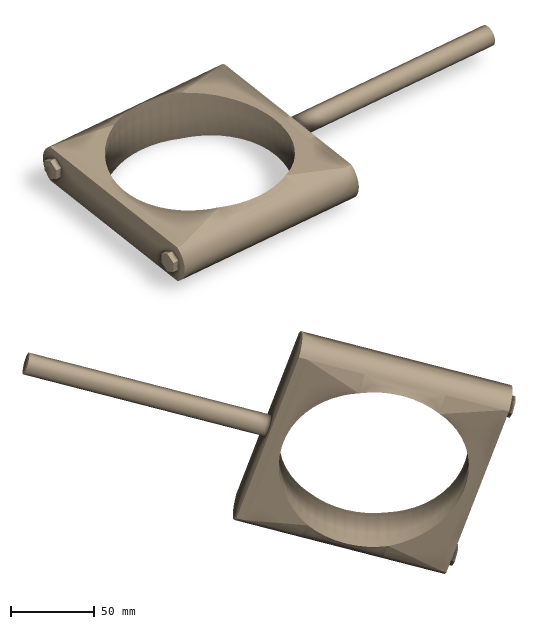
import cadquery as cq
import math

frame_width = 139.3
frame_half_height = 12.7
frame_back = 67.0
frame_front = -65.5
bore_radius = 57.2

pad_half_side = 62.5
total_height = 35.0
pad_top = total_height / 2
ridge_half_length = 25.5

bolt_height = 3.8
bolt_corner_diameter = 13.5
bolt_spacing = 115.0

total_length = 289
rod_diameter = 13.5
bolt_front = frame_front - bolt_height
rod_end = bolt_front + total_length


def make_frame():
    """Flat bar section with bulged sides, running along Y."""
    return (
        cq.Workplane("XZ", origin=(0, frame_front, 0))
        .moveTo(-pad_half_side, -frame_half_height)
        .lineTo(pad_half_side, -frame_half_height)
        .threePointArc((frame_width / 2, 0), (pad_half_side, frame_half_height))
        .lineTo(-pad_half_side, frame_half_height)
        .threePointArc((-frame_width / 2, 0), (-pad_half_side, -frame_half_height))
        .close()
        .extrude(frame_front - frame_back)
    )


def flat_face(*points):
    return cq.Face.makeFromWires(cq.Wire.makePolygon([cq.Vector(*p) for p in points], close=True))


def make_pad():
    """Square base rising to a flat top whose two sides follow the bore edge."""
    base = frame_half_height
    side = pad_half_side
    ridge = ridge_half_length
    ridge_x = math.sqrt(bore_radius**2 - ridge**2)
    faces = []
    rim_edges = []

    for sx in (-1, 1):
        rim = cq.Edge.makeThreePointArc(
            cq.Vector(sx * ridge_x, -ridge, pad_top),
            cq.Vector(sx * bore_radius, 0, pad_top),
            cq.Vector(sx * ridge_x, ridge, pad_top),
        )
        foot = cq.Edge.makeLine(cq.Vector(sx * side, -ridge, base), cq.Vector(sx * side, ridge, base))
        rim_edges.append(rim)
        faces.append(cq.Face.makeRuledSurface(foot, rim))
        for sy in (-1, 1):
            faces.append(
                flat_face(
                    (sx * side, sy * side, base),
                    (sx * side, sy * ridge, base),
                    (sx * ridge_x, sy * ridge, pad_top),
                )
            )

    for sy in (-1, 1):
        faces.append(
            flat_face(
                (-side, sy * side, base),
                (side, sy * side, base),
                (ridge_x, sy * ridge, pad_top),
                (-ridge_x, sy * ridge, pad_top),
            )
        )
        rim_edges.append(
            cq.Edge.makeLine(
                cq.Vector(-ridge_x, sy * ridge, pad_top),
                cq.Vector(ridge_x, sy * ridge, pad_top),
            )
        )

    faces.append(cq.Face.makeFromWires(cq.Wire.combine(rim_edges)[0]))
    faces.append(
        flat_face(
            (-side, -side, base),
            (side, -side, base),
            (side, -ridge, base),
            (side, ridge, base),
            (side, side, base),
            (-side, side, base),
            (-side, ridge, base),
            (-side, -ridge, base),
        )
    )
    return cq.Workplane(cq.Solid.makeSolid(cq.Shell.makeShell(faces)))


def make_bolt_head(center_x):
    """Hexagonal prism with two corners pointing along Z."""
    corner_radius = bolt_corner_diameter / 2
    corner_angles = [math.radians(30 + 60 * i) for i in range(6)]
    corners = [(corner_radius * math.cos(a), corner_radius * math.sin(a)) for a in corner_angles]
    return (
        cq.Workplane("XZ", origin=(center_x, frame_front, 0))
        .polyline(corners)
        .close()
        .extrude(bolt_height)
    )


def make_rod():
    return cq.Workplane("XZ", origin=(0, frame_back, 0)).circle(rod_diameter / 2).extrude(frame_back - rod_end)


upper_pad = make_pad()
lower_pad = upper_pad.mirror("XY")
bore = cq.Workplane("XY").circle(bore_radius).extrude(2 * pad_top, both=True)

result = make_frame().union(upper_pad).union(lower_pad).cut(bore)
for center_x in (-bolt_spacing / 2, bolt_spacing / 2):
    result = result.union(make_bolt_head(center_x))
result = result.union(make_rod())